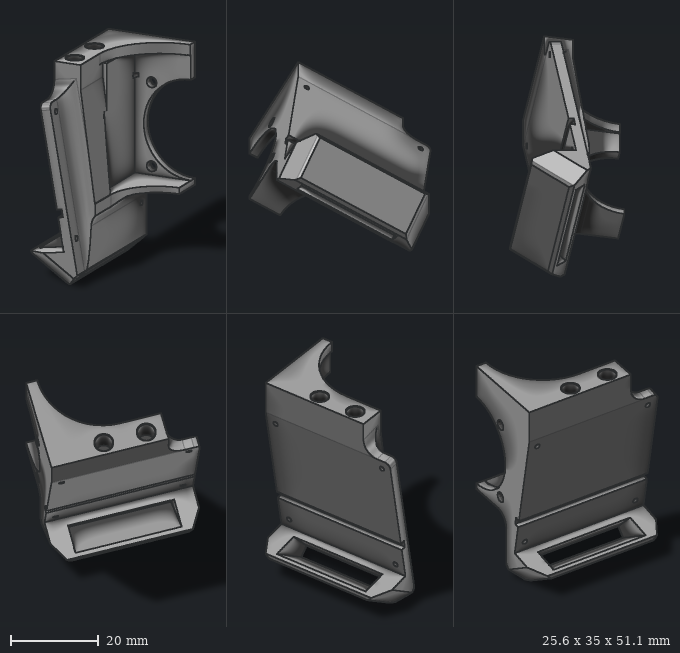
import cadquery as cq
import math

LENGTH = 35.0
HEIGHT = 51.05
RIGHT_X = 22.0
BLOCK_LENGTH = 27.6
REACH = 102.1

TILT = 10.0
SLOPE_START_Z = -8.1
PLATE_THICKNESS = 2.5
PLATE_LENGTH = 35.0
PLATE_CORNER_RADIUS = 1.5
BLEND_RADIUS = 3.8
GROOVE_START = 24.95
GROOVE_WIDTH = 1.9
GROOVE_DEPTH = 1.2
PILOT_DIAMETER = 1.2
PILOT_DEPTH = 8.3
PILOT_INSET = 2.5
PILOT_DISTANCES = (2.55, 32.5)

LIP_REACH = 9.8
LIP_EDGE = 1.05
FOOT_X = 9.65
FOOT_CORNER_Z = -47.6
KEEL_X = 5.1
END_BEVEL_DEPTH = 4.0
END_BEVEL_INSET = 2.95
END_TIP_DEPTH = 0.5
END_TIP_INSET = 3.7
SLOT_LENGTH = 25.0
SLOT_NEAR = 2.1
SLOT_FAR = 8.7
SLOT_INNER_ANGLE = 47.0
SLOT_DEPTH = 13.25

FLANGE_THICKNESS = 2.6
FLANGE_ARC_RADIUS = 15.3
FLANGE_ARC_Y = -17.9
SHELF_TOP_Z = -32.55
SHELF_THICKNESS = 1.55
SHELF_FILLET = 3.55
SHELF_ARC_RADIUS = 11.6
SHELF_ARC_Y = -19.7
REAR_WALL = 2.15
CAVITY_X = 7.75
CAVITY_FRONT_TOP_Y = -16.35
CAVITY_FRONT_MID = (-18.35, -18.9)
SLANT_TOP_Z = -5.85
SLANT_FOOT_X = 10.3
OPENING_RADIUS = 12.0
OPENING_Z = -20.5
SCREW_DIAMETER = 2.45
SCREW_OFFSET = 10.0

TOP_HOLE_X = 2.95
TOP_HOLE_YS = (-13.1, -23.1)
TOP_HOLE_DIAMETER = 4.1
TOP_HOLE_DEPTH = 6.0
TOP_HOLE_CHAMFER = 0.15

SIN_TILT = math.sin(math.radians(TILT))
COS_TILT = math.cos(math.radians(TILT))
INNER_X = RIGHT_X - FLANGE_ARC_RADIUS
SHELF_BOTTOM_Z = SHELF_TOP_Z - SHELF_THICKNESS
MID_Y = -LENGTH / 2


def on_plate(distance, depth=0.0):
    """XZ point at a distance down the inclined face and a depth into the plate."""
    x = distance * SIN_TILT + depth * COS_TILT
    z = SLOPE_START_Z - distance * COS_TILT + depth * SIN_TILT
    return x, z


def prism(profile, front, rear):
    """Extrude a closed XZ profile between two Y positions."""
    return profile.extrude(rear - front).translate((0, rear, 0))


def box(x_range, y_range, z_range):
    ranges = (x_range, y_range, z_range)
    size = [high - low for low, high in ranges]
    corner = tuple(low for low, high in ranges)
    return cq.Workplane("XY").box(*size, centered=False).translate(corner)


def place_on_plate(tool):
    """Turn a tool so that X is depth into the plate and -Z runs down the incline."""
    return tool.rotate((0, 0, 0), (0, 1, 0), -TILT).translate((0, 0, SLOPE_START_Z))


lip_tip = on_plate(PLATE_LENGTH, -LIP_REACH)
keel = (KEEL_X, -HEIGHT)
lip_edge_bottom = (lip_tip[0], lip_tip[1] - LIP_EDGE)
underside_angle = math.atan2(lip_edge_bottom[1] - keel[1], keel[0] - lip_edge_bottom[0])


def make_body():
    chamfer_end = (FOOT_X - (HEIGHT + FOOT_CORNER_Z), -HEIGHT)
    groove_end = GROOVE_START + GROOVE_WIDTH
    fillet_center = (FOOT_X + SHELF_FILLET, SHELF_BOTTOM_Z - SHELF_FILLET)
    fillet_mid = (
        fillet_center[0] - SHELF_FILLET * math.sqrt(0.5),
        fillet_center[1] + SHELF_FILLET * math.sqrt(0.5),
    )
    profile = (
        cq.Workplane("XZ")
        .moveTo(0, 0)
        .lineTo(*on_plate(0))
        .lineTo(*on_plate(GROOVE_START))
        .lineTo(*on_plate(GROOVE_START, GROOVE_DEPTH))
        .lineTo(*on_plate(groove_end, GROOVE_DEPTH))
        .lineTo(*on_plate(groove_end))
        .lineTo(*on_plate(PLATE_LENGTH))
        .lineTo(*lip_tip)
        .lineTo(*lip_edge_bottom)
        .lineTo(*keel)
        .lineTo(*chamfer_end)
        .lineTo(FOOT_X, FOOT_CORNER_Z)
        .lineTo(FOOT_X, fillet_center[1])
        .threePointArc(fillet_mid, (fillet_center[0], SHELF_BOTTOM_Z))
        .lineTo(RIGHT_X, SHELF_BOTTOM_Z)
        .lineTo(RIGHT_X, 0)
        .close()
    )
    return prism(profile, -LENGTH, 0)


def arched_cut(radius, center_y, bottom_z, top_z):
    """Round-backed cut, open to the front and centred on the right face."""
    height = top_z - bottom_z
    round_end = cq.Workplane("XY").circle(radius).extrude(height)
    round_end = round_end.translate((RIGHT_X, center_y, bottom_z))
    front = box((RIGHT_X - radius, REACH), (-REACH, center_y), (bottom_z, top_z))
    return round_end.union(front)


def cut_flange_and_shelf(body):
    body = body.cut(arched_cut(FLANGE_ARC_RADIUS, FLANGE_ARC_Y, -FLANGE_THICKNESS, 0))
    shelf_cut_bottom = SHELF_BOTTOM_Z - SHELF_FILLET
    return body.cut(arched_cut(SHELF_ARC_RADIUS, SHELF_ARC_Y, shelf_cut_bottom, SHELF_TOP_Z))


def cut_cavity(body):
    pocket = (
        cq.Workplane("YZ")
        .moveTo(-REAR_WALL, -FLANGE_THICKNESS)
        .lineTo(CAVITY_FRONT_TOP_Y, -FLANGE_THICKNESS)
        .threePointArc(CAVITY_FRONT_MID, (SHELF_ARC_Y, SHELF_TOP_Z))
        .lineTo(-REAR_WALL, SHELF_TOP_Z)
        .close()
        .extrude(REACH)
        .translate((CAVITY_X, 0, 0))
    )
    slant_profile = cq.Workplane("XZ").polyline([
        (INNER_X, -FLANGE_THICKNESS),
        (INNER_X, SLANT_TOP_Z),
        (SLANT_FOOT_X, SHELF_TOP_Z),
        (REACH, SHELF_TOP_Z),
        (REACH, -FLANGE_THICKNESS),
    ]).close()
    return body.cut(pocket).cut(prism(slant_profile, -REACH, CAVITY_FRONT_TOP_Y))


def cut_rear_wall_holes(body):
    opening = cq.Workplane("XZ").center(RIGHT_X, OPENING_Z).circle(OPENING_RADIUS)
    body = body.cut(prism(opening, -REAR_WALL, 0))
    screws = cq.Workplane("XZ").pushPoints([
        (RIGHT_X - SCREW_OFFSET, OPENING_Z + side * SCREW_OFFSET) for side in (-1, 1)
    ]).circle(SCREW_DIAMETER / 2)
    return body.cut(prism(screws, -REAR_WALL, 0))


def cut_plate_front(body):
    """Thin the front of the plate and trim its top, blending into the block."""
    behind = box((PLATE_THICKNESS, REACH), (-REACH, -BLOCK_LENGTH), (-REACH, REACH))
    behind = behind.edges("<X and >Y").fillet(BLEND_RADIUS)
    above = box((-REACH, REACH), (-REACH, -BLOCK_LENGTH), (0, REACH))
    above = above.edges("<Z and >Y").fillet(BLEND_RADIUS)
    corner_y = (-LENGTH, -LENGTH + PLATE_CORNER_RADIUS)
    corner = box((-REACH, REACH), corner_y, (-PLATE_CORNER_RADIUS, 0))
    rounding = (
        cq.Workplane("YZ")
        .center(corner_y[1], -PLATE_CORNER_RADIUS)
        .circle(PLATE_CORNER_RADIUS)
        .extrude(REACH, both=True)
    )
    for tool in (behind, above, corner.cut(rounding)):
        body = body.cut(place_on_plate(tool))
    return body


def cut_pilot_holes(body):
    pilots = (
        cq.Workplane("YZ")
        .pushPoints([
            (y, -distance)
            for y in (-PILOT_INSET, PILOT_INSET - LENGTH)
            for distance in PILOT_DISTANCES
        ])
        .circle(PILOT_DIAMETER / 2)
        .extrude(PILOT_DEPTH)
    )
    return body.cut(place_on_plate(pilots))


def cut_top_holes(body):
    radius = TOP_HOLE_DIAMETER / 2
    hole = (
        cq.Workplane("XZ")
        .polyline([
            (0, 0),
            (radius + TOP_HOLE_CHAMFER, 0),
            (radius, -TOP_HOLE_CHAMFER),
            (radius, -TOP_HOLE_DEPTH),
            (0, -TOP_HOLE_DEPTH),
        ])
        .close()
        .revolve(360, (0, 0, 0), (0, 1, 0))
    )
    for y in TOP_HOLE_YS:
        body = body.cut(hole.translate((TOP_HOLE_X, y, 0)))
    return body


def cut_lip_ends(body):
    """Bevel both ends of the lip along its sloping underside."""
    run = (math.cos(underside_angle), 0, -math.sin(underside_angle))
    inward = (math.sin(underside_angle), 0, math.cos(underside_angle))
    plane = cq.Plane(
        origin=(lip_edge_bottom[0], 0, lip_edge_bottom[1]), xDir=inward, normal=run
    )
    bevel = (
        cq.Workplane(plane)
        .polyline([
            (END_BEVEL_DEPTH, 0),
            (END_TIP_DEPTH, END_BEVEL_INSET),
            (0, END_TIP_INSET),
            (-REACH, END_TIP_INSET),
            (-REACH, 0),
        ])
        .close()
        .extrude(REACH, both=True)
    )
    return body.cut(bevel).cut(bevel.mirror("XZ", (0, MID_Y, 0)))


def cut_lip_slot(body):
    """Tapered slot from the lip's upper face out through the lower chamfer."""
    inner_angle = math.radians(SLOT_INNER_ANGLE)
    inner = on_plate(PLATE_LENGTH, -SLOT_NEAR)
    outer = on_plate(PLATE_LENGTH, -SLOT_FAR)

    def along(point, angle):
        x = point[0] + SLOT_DEPTH * math.cos(angle)
        return x, point[1] - SLOT_DEPTH * math.sin(angle)

    profile = cq.Workplane("XZ").polyline([
        inner,
        along(inner, inner_angle),
        along(outer, underside_angle),
        outer,
    ]).close()
    return body.cut(prism(profile, MID_Y - SLOT_LENGTH / 2, MID_Y + SLOT_LENGTH / 2))


result = make_body()
result = cut_flange_and_shelf(result)
result = cut_cavity(result)
result = cut_rear_wall_holes(result)
result = cut_plate_front(result)
result = cut_pilot_holes(result)
result = cut_top_holes(result)
result = cut_lip_ends(result)
result = cut_lip_slot(result)